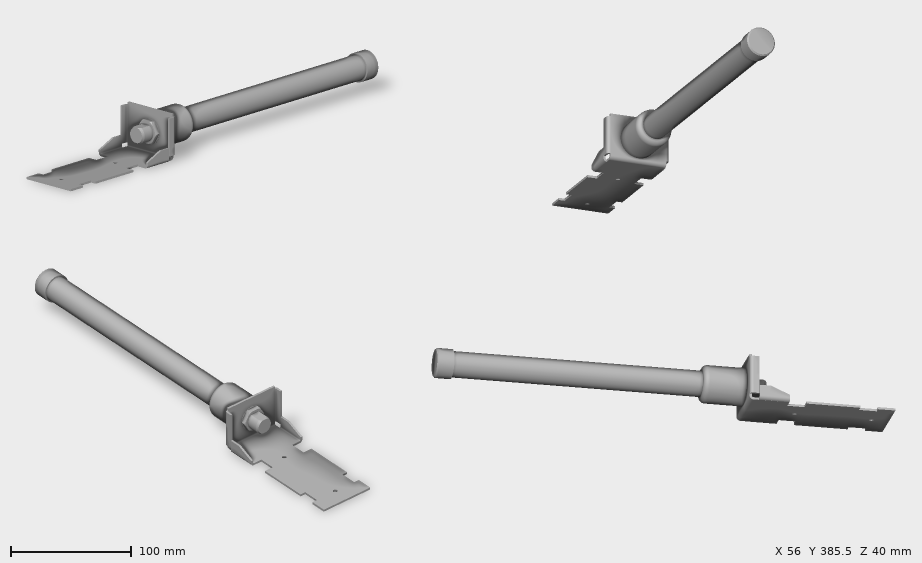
import cadquery as cq
import math

sheet = 2.0
bend_radius = 3.0
bracket_width = 56.0
bracket_height = 40.0
bracket_length = 123.8
base_z = -20.0
plate_width = 50.5

end_flange_depth = 7.7
end_flange_drop = 2.5
end_flange_bottom = 5.0
base_flange_start = 8.0
base_flange_end = 34.0
base_flange_tall = 12.5
base_flange_low = 5.5
base_flange_slope_start = 18.0

edge_notches = [(base_flange_end, 48.5, 33.5), (94.0, 109.0, 40.5)]
hole_diameter = 4.0
hole_distances = [43.5, 108.7]

collar_diameter = 32.0
collar_length = 36.2
collar_rounding = 4.5
tube_diameter = 22.0
cap_diameter = 25.0
cap_length = 14.3
cap_chamfer = 1.0
antenna_length = 385.5 - bracket_length

washer_diameter = 22.0
washer_end = 2.5
nut_flats = 19.3
nut_end = 6.0
nut_chamfer = 1.0
connector_diameter = 15.5
connector_flats = 13.0
connector_end = 18.5
connector_chamfer_length = 2.5
connector_tip_diameter = 13.5


def block(width, y_start, y_end, z_bottom, z_top):
    """Box centred on X; y_start and y_end are distances toward -Y."""
    return cq.Workplane("XY").box(width, y_end - y_start, z_top - z_bottom).translate(
        (0, -(y_start + y_end) / 2, (z_bottom + z_top) / 2)
    )


def cylinder(diameter, y_start, y_end):
    """Cylinder on the antenna axis between two Y positions, positive toward the antenna."""
    return cq.Workplane("XZ", origin=(0, y_end, 0)).circle(diameter / 2).extrude(y_end - y_start)


def bent_channel(length):
    """U-shaped sheet, open at the top, running toward -Y from the end plate."""
    inner_radius = bend_radius - sheet
    outer = block(bracket_width, 0, length, base_z, base_z + bracket_height)
    inner = block(bracket_width - 2 * sheet, 0, length, base_z + sheet, base_z + bracket_height)
    outer = outer.edges("|Y and <Z").fillet(bend_radius)
    inner = inner.edges("|Y and <Z").fillet(inner_radius)
    return outer.cut(inner)


def base_flanges():
    """Sloping flanges turned up along both sides of the base."""
    profile = (
        cq.Workplane("YZ", origin=(-bracket_width / 2, 0, 0))
        .moveTo(-base_flange_start, base_z)
        .lineTo(-base_flange_end, base_z)
        .lineTo(-base_flange_end, base_z + base_flange_low)
        .lineTo(-base_flange_slope_start, base_z + base_flange_tall)
        .lineTo(-base_flange_start, base_z + base_flange_tall)
        .close()
        .extrude(bracket_width)
    )
    return bent_channel(base_flange_end).intersect(profile)


def end_plate():
    """Upright plate with a flange turned toward -Y along each side."""
    top = base_z + bracket_height
    flange_bottom = base_z + end_flange_bottom
    flange_top = top - end_flange_drop
    outer = block(bracket_width, 0, end_flange_depth, flange_bottom, flange_top)
    inner = block(bracket_width - 2 * sheet, sheet, end_flange_depth, flange_bottom, flange_top)
    outer = outer.edges("|Z and >Y").fillet(bend_radius)
    inner = inner.edges("|Z and >Y").fillet(bend_radius - sheet)
    plate = block(plate_width, 0, sheet, base_z + bend_radius, top)
    return outer.cut(inner).union(plate)


def base():
    """Flat base joined to the end plate by a bend, with edge notches and screw holes."""
    bend_block = block(plate_width, 0, bracket_length, base_z, base_z + 2 * bend_radius)
    bend_block = bend_block.edges("|X and >Y and <Z").fillet(bend_radius)
    hollow = block(plate_width, sheet, bracket_length, base_z + sheet, base_z + 2 * bend_radius)
    hollow = hollow.edges("|X and >Y and <Z").fillet(bend_radius - sheet)
    plate = bend_block.cut(hollow)
    for start, end, width in edge_notches:
        band = block(bracket_width, start, end, base_z, base_z + sheet)
        plate = plate.cut(band.cut(block(width, start, end, base_z, base_z + sheet)))
    holes = (
        cq.Workplane("XY", origin=(0, 0, base_z))
        .pushPoints([(0, -distance) for distance in hole_distances])
        .circle(hole_diameter / 2)
        .extrude(sheet)
    )
    return plate.cut(holes)


def antenna():
    """Collar, tube and end cap."""
    collar = cylinder(collar_diameter, 0, collar_length)
    collar = collar.faces(">Y").fillet(collar_rounding)
    tube = cylinder(tube_diameter, 0, antenna_length)
    cap = cylinder(cap_diameter, antenna_length - cap_length, antenna_length)
    cap = cap.faces(">Y").chamfer(cap_chamfer)
    return collar.union(tube).union(cap)


def nut():
    """Hexagonal nut with flats facing up and down and its corners chamfered, on a round washer."""
    corner_diameter = nut_flats / math.cos(math.pi / 6)
    hexagon = cq.Workplane("XZ").polygon(6, corner_diameter).extrude(nut_end)
    rounded = cylinder(corner_diameter, -nut_end, 0).faces("<Y").chamfer(nut_chamfer)
    return hexagon.intersect(rounded).union(cylinder(washer_diameter, -washer_end, 0))


def connector():
    """Round shaft with a flat above and below and a chamfered tip."""
    radius = connector_diameter / 2
    shaft = (
        cq.Workplane("XY")
        .lineTo(radius, 0)
        .lineTo(radius, -(connector_end - connector_chamfer_length))
        .lineTo(connector_tip_diameter / 2, -connector_end)
        .lineTo(0, -connector_end)
        .close()
        .revolve(360, (0, 0), (0, 1))
    )
    flats = block(connector_diameter, 0, connector_end, -connector_flats / 2, connector_flats / 2)
    return shaft.intersect(flats)


bracket = base().union(end_plate()).union(base_flanges())
result = bracket.union(antenna()).union(nut()).union(connector())